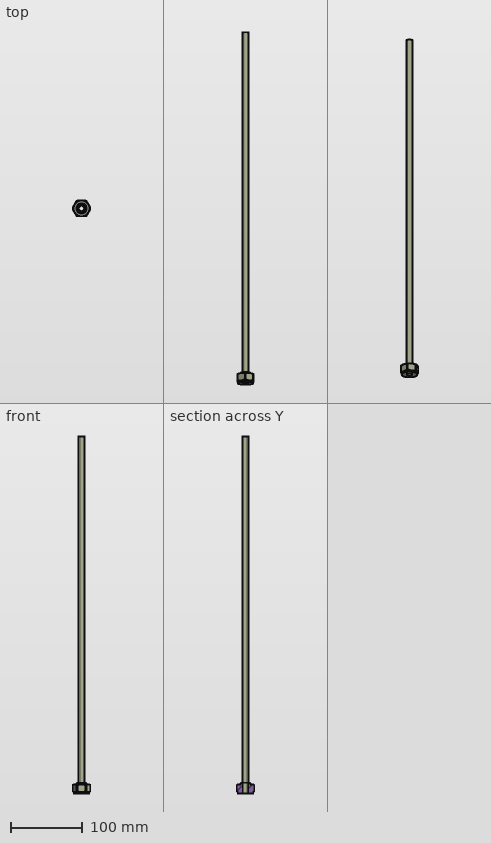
import cadquery as cq
import math

total_length = 497.0
tube_diameter = 9.5
bore_diameter = 7.5

nut_across_flats = 22.5
nut_corner_diameter = 25.0
nut_face_diameter = 22.0
nut_bottom = 2.0
nut_top = 13.0
top_chamfer_height = 1.25
bottom_chamfer_height = 1.5

neck_diameter = nut_face_diameter
collar_diameter = 14.5
collar_top = 15.0
collar_chamfer = 1.0


def cylinder(diameter, bottom, top):
    """Solid cylinder on the Z axis between two heights."""
    return cq.Workplane("XY").workplane(offset=bottom).circle(diameter / 2).extrude(top - bottom)


def hexagonal_nut():
    """Hexagon with flats facing +Y and -Y, its corners trimmed by a turned outline."""
    across_corners = nut_across_flats / math.cos(math.radians(30))
    hexagon = (
        cq.Workplane("XY")
        .workplane(offset=nut_bottom)
        .polygon(6, across_corners)
        .extrude(nut_top - nut_bottom)
    )
    face_radius = nut_face_diameter / 2
    corner_radius = nut_corner_diameter / 2
    turned_outline = (
        cq.Workplane("XZ")
        .moveTo(0, nut_bottom)
        .lineTo(face_radius, nut_bottom)
        .lineTo(corner_radius, nut_bottom + bottom_chamfer_height)
        .lineTo(corner_radius, nut_top - top_chamfer_height)
        .lineTo(face_radius, nut_top)
        .lineTo(0, nut_top)
        .close()
        .revolve(360, (0, 0, 0), (0, 1, 0))
    )
    return hexagon.intersect(turned_outline)


nut = hexagonal_nut()
neck = cylinder(neck_diameter, 0, nut_bottom)
collar = cylinder(collar_diameter, nut_bottom, collar_top).faces(">Z").chamfer(collar_chamfer)
tube = cylinder(tube_diameter, 0, total_length)
bore = cylinder(bore_diameter, 0, total_length)

result = nut.union(neck).union(collar).union(tube).cut(bore)